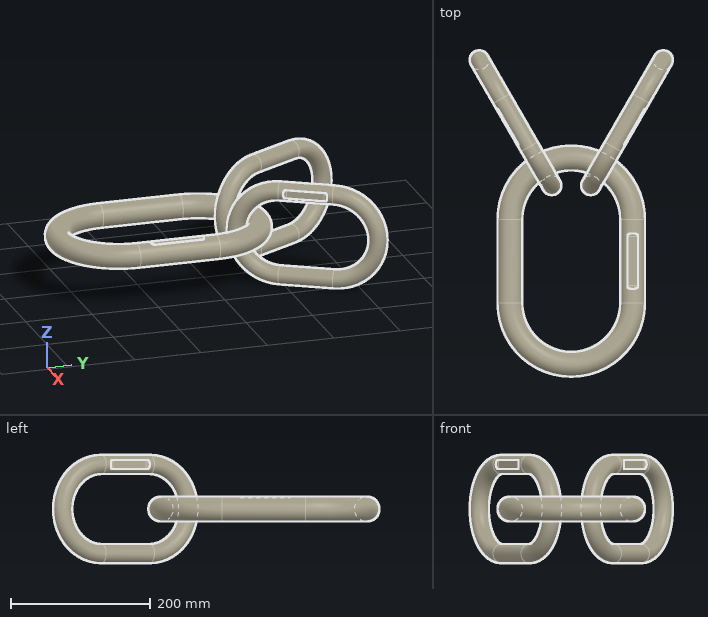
import cadquery as cq
import math

MASTER_ROD = 36.0
MASTER_INNER_LENGTH = 260.0
MASTER_INNER_WIDTH = 140.0

SMALL_ROD = 28.0
SMALL_INNER_LENGTH = 180.0
SMALL_INNER_WIDTH = 100.0
SPREAD_ANGLE = 30.0

MASTER_FLOOR_LENGTH = 70.0
MASTER_RECESS_WIDTH = 15.0
SMALL_FLOOR_LENGTH = 55.0
SMALL_RECESS_WIDTH = 12.5
RECESS_DEPTH = 2.0
RECESS_END_RADIUS = 7.0


def straight_length(inner_length, inner_width):
    """Length of the straight legs between the two half-round bows."""
    return inner_length - inner_width


def bow_radius(inner_width, rod):
    """Radius of the rod centreline around a bow."""
    return (inner_width + rod) / 2


def oval_ring(rod, inner_length, inner_width):
    """Round rod swept along an oval of two straight legs and two bows, long axis along Y."""
    bow = bow_radius(inner_width, rod)
    half_leg = straight_length(inner_length, inner_width) / 2
    centreline = (
        cq.Workplane("XY")
        .moveTo(bow, -half_leg)
        .lineTo(bow, half_leg)
        .threePointArc((0, half_leg + bow), (-bow, half_leg))
        .lineTo(-bow, -half_leg)
        .threePointArc((0, -half_leg - bow), (bow, -half_leg))
        .close()
    )
    section = cq.Workplane("XZ", origin=(bow, -half_leg, 0)).circle(rod / 2)
    return section.sweep(centreline)


def recess_cutter(rod, floor_length, width):
    """Block that cuts the recess into the +Z side of a rod running along Y."""
    floor_height = rod / 2 - RECESS_DEPTH
    return (
        cq.Workplane("XY", origin=(0, 0, floor_height))
        .rect(width, floor_length + 2 * RECESS_END_RADIUS)
        .extrude(rod / 2)
        .edges("|X and <Z")
        .fillet(RECESS_END_RADIUS)
    )


def master_link():
    ring = oval_ring(MASTER_ROD, MASTER_INNER_LENGTH, MASTER_INNER_WIDTH)
    leg_offset = bow_radius(MASTER_INNER_WIDTH, MASTER_ROD)
    cutter = recess_cutter(MASTER_ROD, MASTER_FLOOR_LENGTH, MASTER_RECESS_WIDTH)
    return ring.cut(cutter.translate((leg_offset, 0, 0)))


def small_link(side):
    """Small link on the -X (side = -1) or +X (side = 1) half of the master far bow."""
    ring = oval_ring(SMALL_ROD, SMALL_INNER_LENGTH, SMALL_INNER_WIDTH)
    leg_offset = bow_radius(SMALL_INNER_WIDTH, SMALL_ROD)
    cutter = recess_cutter(SMALL_ROD, SMALL_FLOOR_LENGTH, SMALL_RECESS_WIDTH)
    link = ring.cut(cutter.translate((-side * leg_offset, 0, 0)))

    sine = math.sin(math.radians(SPREAD_ANGLE))
    cosine = math.cos(math.radians(SPREAD_ANGLE))
    master_bow_centre_y = straight_length(MASTER_INNER_LENGTH, MASTER_INNER_WIDTH) / 2
    contact_reach = (MASTER_INNER_WIDTH - SMALL_ROD) / 2
    reach = contact_reach + (SMALL_INNER_LENGTH + SMALL_ROD) / 2
    centre = (side * reach * sine, master_bow_centre_y + reach * cosine, 0)

    upright = cq.Plane(origin=centre, xDir=(0, 0, -side), normal=(side * cosine, -sine, 0))
    return cq.Workplane(obj=link.val().moved(cq.Location(upright)))


master = master_link()
small_links = [small_link(side) for side in (-1, 1)]

result = cq.Compound.makeCompound([master.val(), *[link.val() for link in small_links]])